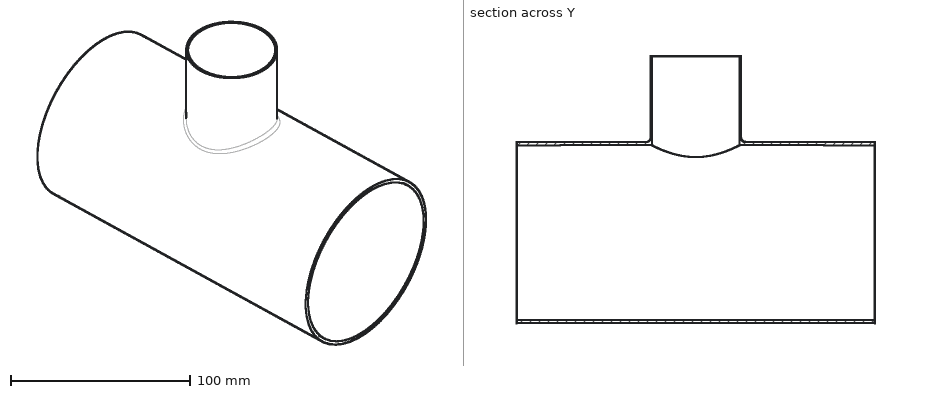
import cadquery as cq

run_length = 200.0
run_outer_diameter = 101.6
run_inner_diameter = 97.4

branch_outer_diameter = 50.8
branch_inner_diameter = 48.7
branch_end_height = 98.5

joint_fillet_radius = 2.0


def run_cylinder(diameter):
    """Solid cylinder along X, centred on the origin."""
    return cq.Workplane("YZ").circle(diameter / 2).extrude(run_length / 2, both=True)


def branch_cylinder(diameter):
    """Solid cylinder along Z, from the main pipe axis to the branch end."""
    return cq.Workplane("XY").circle(diameter / 2).extrude(branch_end_height)


def joint_region():
    """Box around the joint curve that leaves out the end edges of both pipes."""
    low = (-branch_outer_diameter, -branch_outer_diameter, 0)
    high = (branch_outer_diameter, branch_outer_diameter, run_outer_diameter / 2 + joint_fillet_radius)
    return cq.selectors.BoxSelector(low, high, boundingbox=False)


def outer_body():
    """Both pipes as solid bars, with the joint between them rounded."""
    body = run_cylinder(run_outer_diameter).union(branch_cylinder(branch_outer_diameter))
    return body.edges(joint_region()).edges("not %LINE").fillet(joint_fillet_radius)


result = (
    outer_body()
    .cut(run_cylinder(run_inner_diameter))
    .cut(branch_cylinder(branch_inner_diameter))
    .solids()
)